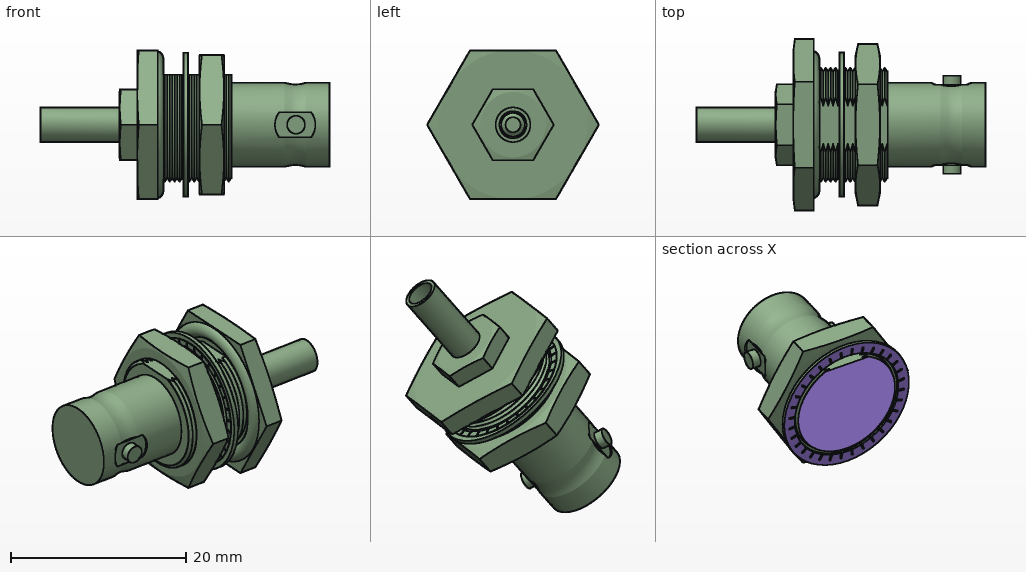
import cadquery as cq
import math


hex_start = 9.0
flange_start = 11.05
flange_end = 13.4
washer_start = 16.3
nut_start = 18.13
thread_end = 21.83
lug_x = 29.2
overall_length = 33.02

tube_radius = 1.98
tube_bore_radius = 1.55
contact_radius = 1.35
contact_tip_radius = 0.85
contact_start = 7.6

rear_hex_flats = 8.05
rear_hex_face_radius = 3.73
flange_flats = 17.0
nut_flats = 15.98
nut_face_radius = 7.73
nut_thickness = 2.87
corner_slope = 0.2
nut_corner_slope = 0.22
flange_corner_slope = 0.13

thread_radius = 6.5
thread_root_radius = 6.1
thread_pitch = 0.55
first_crest = 14.2
crest_count = 14
key_flat_z = 5.7

seal_section_radius = 0.95
seal_protrusion = 0.65
seal_clearance = 0.03
seal_ring_radius = thread_radius + seal_clearance + seal_section_radius
seal_x = flange_end + seal_protrusion - seal_section_radius

washer_radius = 8.25
washer_bore_radius = 6.8
washer_thickness = 0.55
tooth_root_radius = 7.6
tooth_count = 32
tooth_gap = 0.13
tooth_recess = 0.05

barrel_radius = 4.82
groove_radius = 4.62
groove_center = 29.1
groove_width = 2.48
pad_radius = 2.3
pad_half_width = 1.45
pad_y = math.sqrt(barrel_radius**2 - pad_half_width**2)
lug_radius = 1.02
lug_reach = 5.6


def cylinder(radius, start, end):
    """Solid cylinder on the X axis."""
    return cq.Workplane("YZ", origin=(start, 0, 0)).circle(radius).extrude(end - start)


def hexagon(flats, start, end):
    """Hexagonal prism on the X axis, with corners at +Y and -Y."""
    corner_diameter = flats / math.cos(math.pi / 6)
    return cq.Workplane("YZ", origin=(start, 0, 0)).polygon(6, corner_diameter).extrude(end - start)


def corner_cone(flats, face_radius, slope, start, end):
    """Solid whose start face has face_radius and widens to chamfer the corners of a hexagon."""
    rim_radius = flats
    cone_depth = (rim_radius - face_radius) * slope
    outline = [
        (start, 0),
        (start, face_radius),
        (start + cone_depth, rim_radius),
        (end, rim_radius),
        (end, 0),
    ]
    return cq.Workplane("XY").polyline(outline).close().revolve(360, (0, 0, 0), (1, 0, 0))


def make_seal():
    """Ring of round section around the neck."""
    section = cq.Workplane("XY").center(seal_x, seal_ring_radius).circle(seal_section_radius)
    return section.revolve(360, (0, -seal_ring_radius, 0), (1, -seal_ring_radius, 0))


def make_rear():
    """Crimp tube, small hexagon and hexagonal flange with its seal groove."""
    tube = cylinder(tube_radius, 0, hex_start)
    rear_hex = hexagon(rear_hex_flats, hex_start, flange_start).intersect(
        corner_cone(rear_hex_flats, rear_hex_face_radius, corner_slope, hex_start, flange_start)
    )
    flange = hexagon(flange_flats, flange_start, flange_end).intersect(
        corner_cone(flange_flats, flange_flats / 2, flange_corner_slope, flange_start, flange_end)
    )
    return tube.union(rear_hex).union(flange.cut(make_seal()))


def make_neck():
    """Neck with ring-shaped thread ridges and one flat along the top."""
    half_pitch = thread_pitch / 2
    profile = cq.Workplane("XY").moveTo(flange_start, 0).lineTo(flange_start, thread_root_radius)
    for ridge in range(crest_count):
        crest_x = first_crest + ridge * thread_pitch
        profile = profile.lineTo(crest_x - half_pitch, thread_root_radius).lineTo(crest_x, thread_radius)
    last_root_x = first_crest + crest_count * thread_pitch - half_pitch
    profile = profile.lineTo(last_root_x, thread_root_radius)
    profile = profile.lineTo(thread_end, thread_root_radius).lineTo(thread_end, 0).close()
    neck = profile.revolve(360, (0, 0, 0), (1, 0, 0))
    above_flat = (
        cq.Workplane("XY", origin=(flange_end, 0, key_flat_z))
        .rect(2 * (thread_end - flange_end), 2 * thread_radius)
        .extrude(thread_radius)
    )
    return neck.cut(above_flat)


def cross_cylinder(radius, center_x, reach):
    """Cylinder across the part along Y, from -reach to +reach."""
    return cq.Workplane("XZ").center(center_x, 0).circle(radius).extrude(reach, both=True)


def make_barrel():
    """Mating barrel with a shallow groove, two flat pads and two bayonet lugs."""
    groove_start = groove_center - groove_width / 2
    groove_end = groove_center + groove_width / 2
    groove_depth = barrel_radius - groove_radius
    arc_radius = (groove_width**2 / 4 + groove_depth**2) / (2 * groove_depth)
    profile = (
        cq.Workplane("XY")
        .moveTo(thread_end, 0)
        .lineTo(thread_end, barrel_radius)
        .lineTo(groove_start, barrel_radius)
        .radiusArc((groove_center, groove_radius), -arc_radius)
        .radiusArc((groove_end, barrel_radius), -arc_radius)
        .lineTo(overall_length, barrel_radius)
        .lineTo(overall_length, 0)
        .close()
    )
    barrel = profile.revolve(360, (0, 0, 0), (1, 0, 0))

    pad_band = cq.Workplane("XY").box(2 * pad_radius, 2 * pad_y, 2 * pad_half_width)
    pads = cross_cylinder(pad_radius, groove_center, pad_y).intersect(
        pad_band.translate((groove_center, 0, 0))
    )
    beyond_pads = cross_cylinder(pad_radius, groove_center, lug_reach).cut(
        cross_cylinder(pad_radius, groove_center, pad_y)
    )
    lugs = cross_cylinder(lug_radius, lug_x, lug_reach)
    return barrel.union(pads).cut(beyond_pads).union(lugs)


def make_contact():
    """Centre contact with a tapered tip, seated in the rear of the housing."""
    tip_taper = contact_radius - contact_tip_radius
    contact = cylinder(contact_radius, contact_start, flange_start)
    return contact.faces("<X").chamfer(tip_taper)


def make_housing():
    """Housing with its tube bore and contact seat."""
    tube_bore = cylinder(tube_bore_radius, 0, hex_start)
    contact_seat = cylinder(contact_radius, hex_start, flange_start)
    return make_rear().union(make_neck()).union(make_barrel()).cut(tube_bore).cut(contact_seat)


def make_washer():
    """Flat lock washer with a ring of thinner teeth around its bore."""
    washer_end = washer_start + washer_thickness
    washer = cylinder(washer_radius, washer_start, washer_end)
    washer = washer.cut(cylinder(washer_bore_radius, washer_start, washer_end))
    washer = washer.cut(cylinder(tooth_root_radius, washer_start, washer_start + tooth_recess))
    washer = washer.cut(cylinder(tooth_root_radius, washer_end - tooth_recess, washer_end))
    gap = cq.Workplane("XY").box(washer_thickness, tooth_root_radius, tooth_gap)
    gap = gap.translate((washer_start + washer_thickness / 2, tooth_root_radius / 2, 0))
    tooth_angle = 360 / tooth_count
    for tooth in range(tooth_count):
        washer = washer.cut(gap.rotate((0, 0, 0), (1, 0, 0), (tooth + 0.5) * tooth_angle))
    return washer


def make_nut():
    """Hexagonal nut, chamfered on both faces."""
    nut_end = nut_start + nut_thickness
    front_cone = corner_cone(nut_flats, nut_face_radius, nut_corner_slope, nut_start, nut_end)
    middle = (nut_start + nut_end) / 2
    half_nut = hexagon(nut_flats, nut_start, middle).intersect(front_cone)
    nut = half_nut.union(half_nut.mirror("YZ", (middle, 0, 0)))
    return nut.cut(cylinder(thread_radius, nut_start, nut_end))


housing = make_housing()
seal = make_seal()
washer = make_washer()
nut = make_nut()
contact = make_contact()

result = cq.Compound.makeCompound(
    [body.solids().val() for body in (housing, seal, washer, nut, contact)]
)